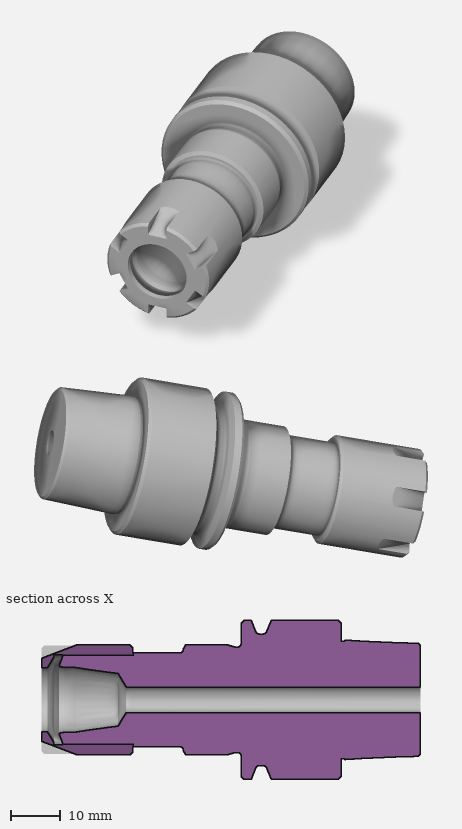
import cadquery as cq
import math

TOTAL_LENGTH = 76.0

TAPER_SMALL_D = 22.8
TAPER_LARGE_D = 24.1
SHANK_CHAMFER = 0.45
y_taper_end = 15.3
RELIEF_D = 23.7

FLANGE_D = 32.0
GROOVE_D = 26.5
FLANGE_CHAMFER = 0.6
GROOVE_FILLET = 0.6
y_flange_back = 15.9
y_groove_back = 29.95
y_groove_floor_back = 31.1
y_groove_floor_front = 32.8
y_groove_front = 33.9
y_flange_front = 36.0

UNDERCUT_D = 21.3
COLLAR_D = 22.1
NECK_D = 19.0
SHOULDER_D = 20.5
UNDERCUT_FILLET = 0.6
NECK_FILLET = 0.6
y_undercut_front = 37.2
y_collar_back = 38.6
y_collar_front = 47.1
y_shoulder = 47.6

THREAD_D = 17.9
NOSE_D = 13.7
NOSE_LENGTH = 0.75
y_spigot_front = 72.5

NUT_D = 22.1
NUT_CHAMFER = 0.5
NUT_MOUTH_D = 12.8
NUT_CONE_D = 17.0
MOUTH_DEPTH = 1.2
NUT_CONE_DEPTH = 2.5
y_nut_back = 57.7

SLOT_COUNT = 6
SLOT_WIDTH = 3.95
SLOT_LENGTH = 7.1
SLOT_FLOOR_RADIUS = 8.35

COUNTERSINK_D = 13.4
ENTRY_D = 13.2
COLLET_LARGE_D = 12.9
COLLET_SMALL_D = 10.5
THROUGH_D = 5.0
COLLET_HALF_ANGLE = 8.0
DRILL_HALF_ANGLE = 59.0
y_entry_front = 72.2
y_entry_back = 71.45
y_collet_front = 69.3


def revolve_profile(points):
    """Turn an outline of (diameter, distance from shank end) points about the Y axis."""
    outline = [(diameter / 2, -distance) for diameter, distance in points]
    return cq.Workplane("XY").polyline(outline).close().revolve(360, (0, 0, 0), (0, 1, 0))


def circle_at(distance, diameter):
    """Selector box around the circular edge with this distance and diameter."""
    tolerance = 0.01
    half_size = diameter / 2 + tolerance
    return cq.selectors.BoxSelector(
        (-half_size, -distance - tolerance, -half_size),
        (half_size, -distance + tolerance, half_size),
        boundingbox=True,
    )


def make_holder_blank():
    """Outside of the holder, from the shank taper to the spigot inside the nut."""
    blank = revolve_profile([
        (0, 0),
        (TAPER_SMALL_D - 2 * SHANK_CHAMFER, 0),
        (TAPER_SMALL_D, SHANK_CHAMFER),
        (TAPER_LARGE_D, y_taper_end),
        (RELIEF_D, y_taper_end),
        (RELIEF_D, y_flange_back),
        (FLANGE_D - 2 * FLANGE_CHAMFER, y_flange_back),
        (FLANGE_D, y_flange_back + FLANGE_CHAMFER),
        (FLANGE_D, y_groove_back),
        (GROOVE_D, y_groove_floor_back),
        (GROOVE_D, y_groove_floor_front),
        (FLANGE_D, y_groove_front),
        (FLANGE_D, y_flange_front - FLANGE_CHAMFER),
        (FLANGE_D - 2 * FLANGE_CHAMFER, y_flange_front),
        (UNDERCUT_D, y_flange_front),
        (UNDERCUT_D, y_undercut_front),
        (COLLAR_D, y_collar_back),
        (COLLAR_D, y_collar_front),
        (SHOULDER_D, y_shoulder),
        (NECK_D, y_shoulder),
        (NECK_D, y_nut_back),
        (THREAD_D, y_nut_back),
        (THREAD_D, y_spigot_front - NOSE_LENGTH),
        (NOSE_D, y_spigot_front),
        (0, y_spigot_front),
    ])
    blank = blank.edges(circle_at(y_groove_floor_back, GROOVE_D)).fillet(GROOVE_FILLET)
    blank = blank.edges(circle_at(y_groove_floor_front, GROOVE_D)).fillet(GROOVE_FILLET)
    blank = blank.edges(circle_at(y_flange_front, UNDERCUT_D)).fillet(UNDERCUT_FILLET)
    return blank.edges(circle_at(y_shoulder, NECK_D)).fillet(NECK_FILLET)


def make_holder_bore():
    """Stepped bore that narrows from the spigot face to the through hole."""
    taper_length = (COLLET_LARGE_D - COLLET_SMALL_D) / 2 / math.tan(math.radians(COLLET_HALF_ANGLE))
    cone_length = (COLLET_SMALL_D - THROUGH_D) / 2 / math.tan(math.radians(DRILL_HALF_ANGLE))
    y_taper_bottom = y_collet_front - taper_length
    return revolve_profile([
        (0, 0),
        (THROUGH_D, 0),
        (THROUGH_D, y_taper_bottom - cone_length),
        (COLLET_SMALL_D, y_taper_bottom),
        (COLLET_LARGE_D, y_collet_front),
        (COLLET_LARGE_D, y_entry_back),
        (ENTRY_D, y_entry_front),
        (COUNTERSINK_D, y_spigot_front),
        (0, y_spigot_front),
    ])


def make_holder():
    return make_holder_blank().cut(make_holder_bore())


def make_nut_blank():
    """Ring with a mouth that widens inward to a bore around the holder spigot."""
    return revolve_profile([
        (THREAD_D, y_nut_back),
        (NUT_D - 2 * NUT_CHAMFER, y_nut_back),
        (NUT_D, y_nut_back + NUT_CHAMFER),
        (NUT_D, TOTAL_LENGTH - NUT_CHAMFER),
        (NUT_D - 2 * NUT_CHAMFER, TOTAL_LENGTH),
        (NUT_MOUTH_D, TOTAL_LENGTH),
        (NUT_MOUTH_D, TOTAL_LENGTH - MOUTH_DEPTH),
        (NUT_CONE_D, TOTAL_LENGTH - NUT_CONE_DEPTH),
        (THREAD_D, TOTAL_LENGTH - NUT_CONE_DEPTH),
    ])


def make_slot_wedge():
    """Wedge at the top of the nut; its sloping underside is the slot floor."""
    nut_radius = NUT_D / 2
    slope = (nut_radius - SLOT_FLOOR_RADIUS) / SLOT_LENGTH
    overrun = 0.75
    return (
        cq.Workplane("YZ")
        .polyline([
            (-TOTAL_LENGTH - overrun, SLOT_FLOOR_RADIUS - slope * overrun),
            (-TOTAL_LENGTH + SLOT_LENGTH + overrun, nut_radius + slope * overrun),
            (-TOTAL_LENGTH - overrun, nut_radius + slope * overrun),
        ])
        .close()
        .extrude(SLOT_WIDTH / 2, both=True)
    )


def make_nut():
    nut = make_nut_blank()
    wedge = make_slot_wedge()
    for index in range(SLOT_COUNT):
        nut = nut.cut(wedge.rotate((0, 0, 0), (0, 1, 0), index * 360 / SLOT_COUNT))
    return nut


holder = make_holder()
nut = make_nut()
result = cq.Compound.makeCompound([holder.val(), nut.val()])